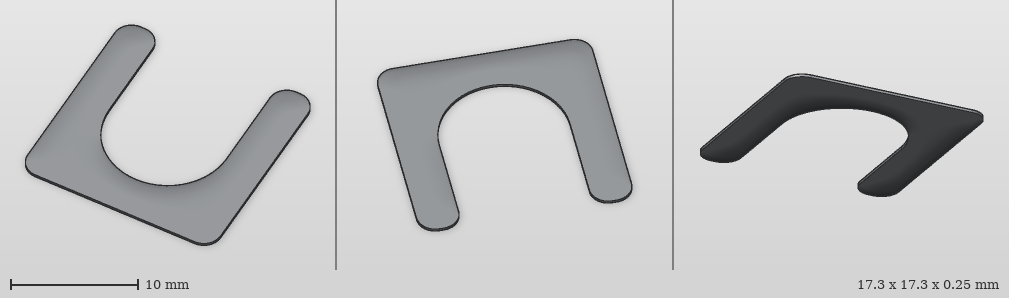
import cadquery as cq

side = 17.27
thickness = 0.25
slot_width = 10.5
corner_radius = 1.5

slot_radius = slot_width / 2


def square_plate():
    """Square plate centred on the origin."""
    return cq.Workplane("XY").rect(side, side).extrude(thickness)


def slot_cutter():
    """Slot with its round end centred on the plate, open towards +Y."""
    return (
        cq.Workplane("XY")
        .moveTo(-slot_radius, side / 2)
        .lineTo(-slot_radius, 0)
        .threePointArc((0, -slot_radius), (slot_radius, 0))
        .lineTo(slot_radius, side / 2)
        .close()
        .extrude(thickness)
    )


slotted_plate = square_plate().cut(slot_cutter())
outer_corners = slotted_plate.edges("|Z").edges("<Y or >Y")
result = outer_corners.fillet(corner_radius)